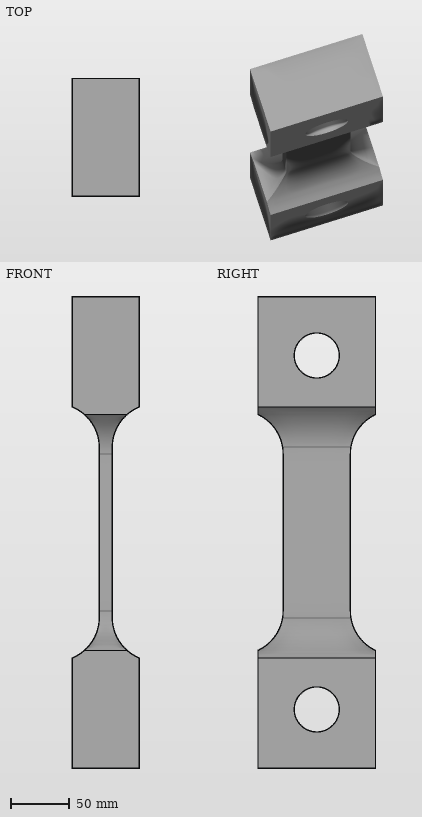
import cadquery as cq
import math

length = 406.5
width = 101.5
thickness = 58.0

waist_width = 58.0
waist_thickness = 11.5
fillet_radius = 37.5

thickness_head = 95.0
width_head = 101.5

hole_diameter = 38.5
hole_end_distance = 51.0


def waisted_outline(plane, full, waist, head):
    """Closed outline with a waist that meets each head through a tangent arc."""
    half_length = length / 2
    half_full = full / 2
    half_waist = waist / 2
    depth = half_full - half_waist
    run = math.sqrt(fillet_radius**2 - (fillet_radius - depth)**2)
    head_z = half_length - head
    tangent_z = head_z - run
    half_angle = math.acos(1 - depth / fillet_radius) / 2
    mid_u = half_waist + fillet_radius * (1 - math.cos(half_angle))
    mid_z = tangent_z + fillet_radius * math.sin(half_angle)
    return (
        cq.Workplane(plane)
        .moveTo(-half_full, half_length)
        .lineTo(half_full, half_length)
        .lineTo(half_full, head_z)
        .threePointArc((mid_u, mid_z), (half_waist, tangent_z))
        .lineTo(half_waist, -tangent_z)
        .threePointArc((mid_u, -mid_z), (half_full, -head_z))
        .lineTo(half_full, -half_length)
        .lineTo(-half_full, -half_length)
        .lineTo(-half_full, -head_z)
        .threePointArc((-mid_u, -mid_z), (-half_waist, -tangent_z))
        .lineTo(-half_waist, tangent_z)
        .threePointArc((-mid_u, mid_z), (-half_full, head_z))
        .close()
    )


thickness_profile = waisted_outline("XZ", thickness, waist_thickness, thickness_head)
width_profile = waisted_outline("YZ", width, waist_width, width_head)
body = thickness_profile.extrude(width / 2, both=True).intersect(
    width_profile.extrude(thickness / 2, both=True)
)

hole_z = length / 2 - hole_end_distance
pin_holes = (
    cq.Workplane("YZ")
    .pushPoints([(0, hole_z), (0, -hole_z)])
    .circle(hole_diameter / 2)
    .extrude(thickness, both=True)
)

result = body.cut(pin_holes)